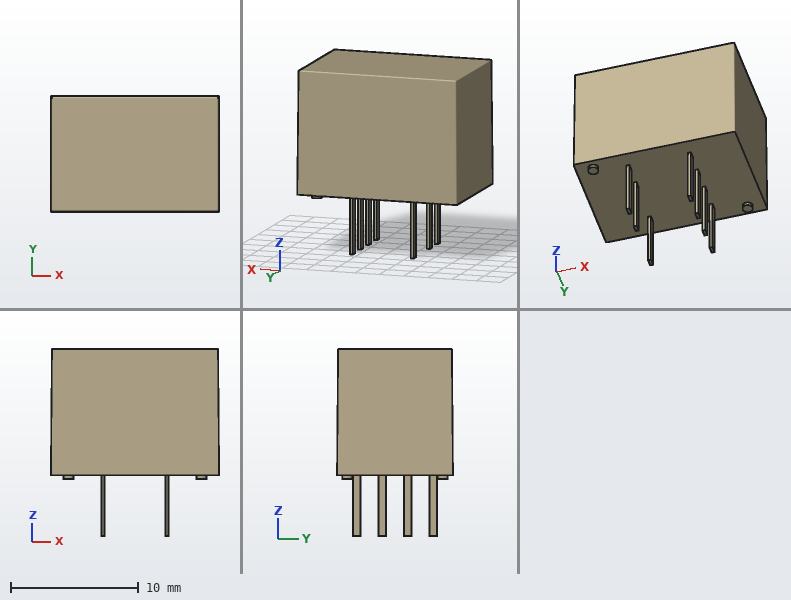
import cadquery as cq

total_height = 14.68
housing_length = 13.2
housing_width = 9.1
housing_height = 9.92
draft_angle = 0.5
edge_radius = 0.1

pin_thickness = 0.25
pin_width = 0.6
pin_column_spacing = 5.02
pin_row_spacing = 2.0
pin_row_count = 4
empty_pin_position = (0, 2)
pin_length = total_height - housing_height

foot_diameter = 0.81
foot_height = 0.28
foot_spacing_x = 10.41
foot_spacing_y = 7.49


def make_housing():
    block = (
        cq.Workplane("XY")
        .rect(housing_length, housing_width)
        .extrude(housing_height, taper=draft_angle)
    )
    return block.edges("not(<Z)").fillet(edge_radius)


def make_pin(x, y):
    return (
        cq.Workplane("XY")
        .center(x, y)
        .rect(pin_thickness, pin_width)
        .extrude(-pin_length)
    )


def make_foot(x, y):
    return (
        cq.Workplane("XY")
        .center(x, y)
        .circle(foot_diameter / 2)
        .extrude(-foot_height)
    )


housing = make_housing()

pins = []
for column, side in enumerate((-1, 1)):
    for row in range(pin_row_count):
        if (column, row) == empty_pin_position:
            continue
        pin_x = side * pin_column_spacing / 2
        pin_y = (row - (pin_row_count - 1) / 2) * pin_row_spacing
        pins.append(make_pin(pin_x, pin_y).val())

feet = []
for corner in (-1, 1):
    foot = make_foot(corner * foot_spacing_x / 2, corner * foot_spacing_y / 2)
    feet.append(foot.val())

result = cq.Compound.makeCompound([housing.val(), *pins, *feet])